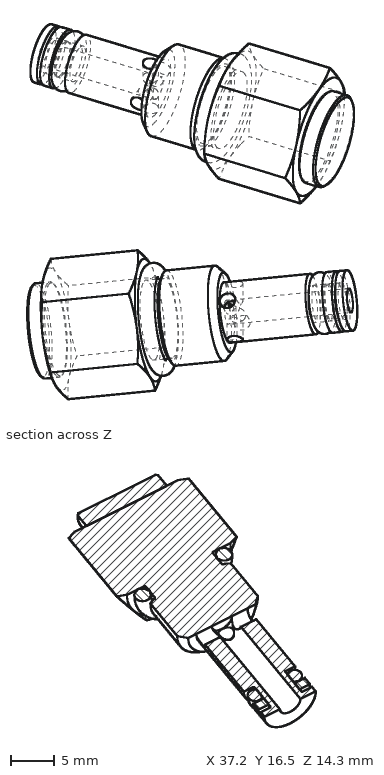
import cadquery as cq
import math

total_length = 37.15
seal_groove_start = 0.85
seal_groove_end = 4.42
shoulder_start = 14.65
neck_start = 21.7
hex_start = 23.85
hex_end = 35.08

nose_diameter = 7.05
seal_groove_diameter = 4.3
shoulder_diameter = 11.1
neck_diameter = 9.3
shoulder_front_chamfer = (shoulder_diameter - neck_diameter) / 2
shoulder_rear_chamfer_length = 0.37
shoulder_rear_chamfer_depth = 0.6

hex_across_flats = 14.27
hex_corner_radius = hex_across_flats / math.sqrt(3)
hex_chamfer_length = 0.45

bore_diameter = 2.8
cross_hole_diameter = 1.82
cross_hole_x = 13.7

backup_ring_diameter = 7.1
backup_ring_start = 1.25
backup_ring_end = 2.4
nose_ring_section = 1.8
nose_ring_diameter = 7.2
body_ring_section = 1.95

cap_diameter = shoulder_diameter
cap_front_chamfer = 0.15
cap_rear_chamfer = 0.22


def cylinder(start, end, diameter):
    """Cylinder on the X axis between two X positions."""
    return cq.Workplane("YZ", origin=(start, 0, 0)).circle(diameter / 2).extrude(end - start)


def revolved(points):
    """Revolve an outline of (x, radius) points about the X axis."""
    return cq.Workplane("XY").polyline(points).close().revolve(360, (0, 0), (1, 0))


def o_ring(centre_x, inner_radius, section):
    """Round-section ring around the X axis."""
    section_radius = section / 2
    return (
        cq.Workplane("XY", origin=(centre_x, inner_radius + section_radius, 0))
        .circle(section_radius)
        .revolve(360, (0, -inner_radius - section_radius), (1, -inner_radius - section_radius))
    )


def make_turned_front():
    """Nose with its seal groove, shoulder, and the neck that holds the larger O-ring."""
    nose_radius = nose_diameter / 2
    groove_radius = seal_groove_diameter / 2
    shoulder_radius = shoulder_diameter / 2
    neck_radius = neck_diameter / 2
    return revolved([
        (0, 0),
        (0, nose_radius),
        (seal_groove_start, nose_radius),
        (seal_groove_start, groove_radius),
        (seal_groove_end, groove_radius),
        (seal_groove_end, nose_radius),
        (shoulder_start, nose_radius),
        (shoulder_start, shoulder_radius - shoulder_front_chamfer),
        (shoulder_start + shoulder_front_chamfer, shoulder_radius),
        (neck_start - shoulder_rear_chamfer_length, shoulder_radius),
        (neck_start, shoulder_radius - shoulder_rear_chamfer_depth),
        (neck_start, neck_radius),
        (hex_start, neck_radius),
        (hex_start, 0),
    ])


def make_hexagon():
    """Hexagon whose corners are bevelled by a cone at each end."""
    prism = (
        cq.Workplane("YZ", origin=(hex_start, 0, 0))
        .polygon(6, 2 * hex_corner_radius)
        .extrude(hex_end - hex_start)
    )
    flat_radius = hex_across_flats / 2
    bevel_envelope = revolved([
        (hex_start, 0),
        (hex_start, flat_radius),
        (hex_start + hex_chamfer_length, hex_corner_radius),
        (hex_end - hex_chamfer_length, hex_corner_radius),
        (hex_end, flat_radius),
        (hex_end, 0),
    ])
    return prism.intersect(bevel_envelope)


def make_housing():
    """Turned front and hexagon in one piece, with the axial bore and two crossing holes."""
    housing = make_turned_front().union(make_hexagon())
    housing = housing.cut(cylinder(0, shoulder_start, bore_diameter))
    for plane in ("XY", "XZ"):
        cross_hole = (
            cq.Workplane(plane)
            .center(cross_hole_x, 0)
            .circle(cross_hole_diameter / 2)
            .extrude(nose_diameter, both=True)
        )
        housing = housing.cut(cross_hole)
    return housing


def make_backup_ring():
    """Flat-sided ring in the seal groove, in front of the nose O-ring."""
    ring = cylinder(backup_ring_start, backup_ring_end, backup_ring_diameter)
    return ring.cut(cylinder(backup_ring_start, backup_ring_end, seal_groove_diameter))


def make_nose_ring():
    """O-ring behind the backup ring, pressed flat where it sits on the groove floor."""
    centre_x = backup_ring_end + nose_ring_section / 2
    inner_radius = nose_ring_diameter / 2 - nose_ring_section
    ring = o_ring(centre_x, inner_radius, nose_ring_section)
    return ring.cut(cylinder(seal_groove_start, seal_groove_end, seal_groove_diameter))


def make_body_ring():
    """O-ring on the neck, against the front of the hexagon."""
    centre_x = hex_start - body_ring_section / 2
    return o_ring(centre_x, neck_diameter / 2, body_ring_section)


def make_end_cap():
    """Round cap on the rear of the hexagon, chamfered at both ends."""
    cap = cylinder(hex_end, total_length, cap_diameter)
    cap = cap.faces("<X").chamfer(cap_front_chamfer)
    return cap.faces(">X").chamfer(cap_rear_chamfer)


housing = make_housing()
backup_ring = make_backup_ring()
nose_ring = make_nose_ring()
body_ring = make_body_ring()
end_cap = make_end_cap()

result = cq.Compound.makeCompound([
    housing.val(),
    backup_ring.val(),
    nose_ring.val(),
    body_ring.val(),
    end_cap.val(),
])